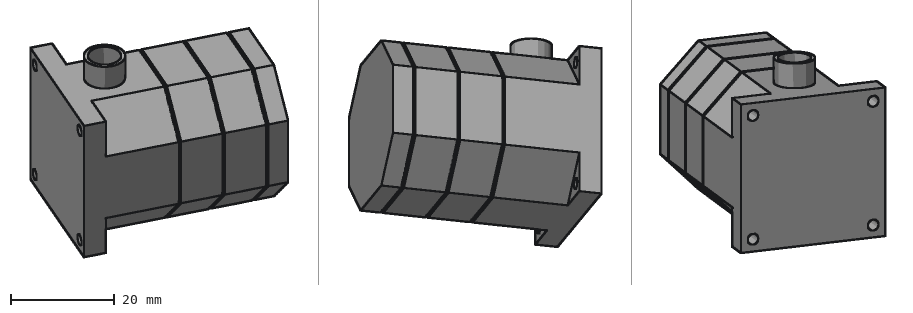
import cadquery as cq

length = 42.0
width = 30.05
overall_height = 35.0

flange_thickness = 4.5
corner_cut = 8.0

groove_count = 3
groove_width = 0.5
groove_depth = 0.5
groove_pitch = 9.0
first_groove_start = 19.5

hole_diameter = 2.2
hole_spacing = 25.0

tube_outer_diameter = 8.02
tube_inner_diameter = 6.43
tube_distance = 9.75
tube_height = overall_height - width


def section_at(y):
    """Workplane at the given Y, with its normal along +Y and its origin on the part's long axis."""
    return cq.Workplane(cq.Plane(origin=(0, y, 0), xDir=(1, 0, 0), normal=(0, 1, 0)))


def octagon_points():
    """Corners of the body outline: a square with its four corners cut off."""
    half = width / 2
    flat = half - corner_cut
    return [
        (flat, half), (half, flat), (half, -flat), (flat, -half),
        (-flat, -half), (-half, -flat), (-half, flat), (-flat, half),
    ]


def make_body():
    return section_at(0).polyline(octagon_points()).close().extrude(length)


def make_flange():
    """Square plate with a through hole near each corner."""
    plate = section_at(0).rect(width, width).extrude(flange_thickness)
    holes = (
        section_at(0)
        .rect(hole_spacing, hole_spacing, forConstruction=True)
        .vertices()
        .circle(hole_diameter / 2)
        .extrude(flange_thickness)
    )
    return plate.cut(holes)


def make_groove(start):
    """Octagonal ring whose inner outline is the body outline offset inward."""
    outer = section_at(start).rect(width, width).extrude(groove_width)
    core = (
        section_at(start)
        .polyline(octagon_points())
        .close()
        .offset2D(-groove_depth)
        .extrude(groove_width)
    )
    return outer.cut(core)


def make_tube():
    """Open tube standing on the top face; the body closes its lower end."""
    return (
        cq.Workplane("XY", origin=(0, tube_distance, width / 2))
        .circle(tube_outer_diameter / 2)
        .circle(tube_inner_diameter / 2)
        .extrude(tube_height)
    )


result = make_body().union(make_flange()).union(make_tube())
for index in range(groove_count):
    result = result.cut(make_groove(first_groove_start + index * groove_pitch))